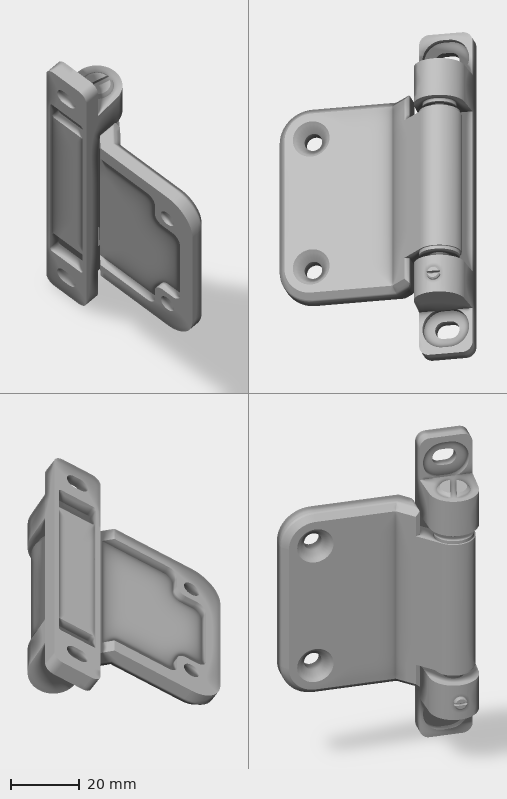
import cadquery as cq
import math

TOLERANCE = 0.001

base_height = 100.0
base_width = 16.0
base_thickness = 5.0
base_corner_radius = 3.0
mid_z = base_height / 2
axis_x = base_width / 2

screw_hole_diameter = 5.3
slot_travel = 2.0
slot_spacing = 84.0
slot_counterbore_diameter = 12.0
slot_counterbore_depth = 2.0

relief_width = 13.0
relief_height = 69.0
relief_corner_radius = 1.0
relief_depth = 1.0
relief_end_height = 7.2
relief_end_depth = 3.5

axis_y = 13.0
knuckle_radius = 7.5
knuckle_length = 11.5
knuckle_gap = 50.0
upper_knuckle_bottom = mid_z + knuckle_gap / 2
upper_knuckle_top = upper_knuckle_bottom + knuckle_length
lower_knuckle_top = mid_z - knuckle_gap / 2
lower_knuckle_bottom = lower_knuckle_top - knuckle_length

pin_diameter = 6.2
pin_neck_diameter = 8.5
pin_collar_diameter = 10.0
pin_collar_thickness = 1.0
pin_head_tip_diameter = 8.0
pin_head_height = 1.0
pin_slot_width = 1.9
pin_slot_depth = 1.0
pin_slot_angle = 75.0

barrel_radius = 6.5
barrel_length = 43.0
leaf_height = 60.0
leaf_left = 17.5
leaf_right = 58.0
leaf_back = 0.5
leaf_thickness = 6.0
leaf_front = leaf_back + leaf_thickness
leaf_outer_radius = 10.0
leaf_inner_radius = 1.0
leaf_chamfer = 2.0
leaf_edge_round = 1.0
bend_front_sum = axis_x + axis_y + barrel_radius * math.sqrt(2)
bend_back_sum = bend_front_sum - leaf_thickness * math.sqrt(2)

leaf_hole_x = 48.0
leaf_hole_spacing = 40.0
leaf_countersink_diameter = 11.0
leaf_countersink_depth = (leaf_countersink_diameter - screw_hole_diameter) / 2

pocket_depth = 2.6
pocket_height = 50.0
pocket_narrow_height = 30.0
pocket_step_x = 43.0
pocket_right = 53.0
pocket_corner_radius = 3.0

bushing_diameter = 12.0
bushing_thickness = 1.0

set_screw_diameter = 4.0
set_screw_top = 21.6
set_screw_chamfer = 0.4
set_screw_slot_width = 0.8
set_screw_slot_depth = 1.3
set_screw_z = lower_knuckle_bottom + knuckle_length / 2


def axis_cylinder(diameter, z_start, length):
    """Cylinder on the hinge axis, growing upward from z_start."""
    plane = cq.Workplane("XY", origin=(axis_x, axis_y, z_start))
    return plane.circle(diameter / 2).extrude(length)


def facing_front(y):
    """Plane at depth y whose local axes are X and Z; negative extrusions grow toward +Y."""
    return cq.Workplane("XZ", origin=(0, y, mid_z))


def make_knuckle(z_start):
    """Knuckle: round top with sides running tangent to it from the base edges."""
    reach_y = axis_y - base_thickness
    reach = math.hypot(axis_x, reach_y)
    lean = math.acos(knuckle_radius / reach) - math.atan2(reach_y, axis_x)
    side_x = knuckle_radius * math.cos(lean)
    side_y = axis_y + knuckle_radius * math.sin(lean)
    outline = (
        cq.Workplane("XY", origin=(0, 0, z_start))
        .moveTo(0, base_thickness)
        .lineTo(axis_x - side_x, side_y)
        .threePointArc((axis_x, axis_y + knuckle_radius), (axis_x + side_x, side_y))
        .lineTo(base_width, base_thickness)
        .close()
    )
    return outline.extrude(knuckle_length)


def set_screw_blank():
    """Plain set screw cylinder, from the pin surface out past the knuckle."""
    tip_y = axis_y + pin_diameter / 2
    plane = cq.Workplane("XZ", origin=(axis_x, tip_y, set_screw_z))
    return plane.circle(set_screw_diameter / 2).extrude(tip_y - set_screw_top)


def make_base():
    plate = (
        facing_front(0)
        .center(axis_x, 0)
        .rect(base_width, base_height)
        .extrude(-base_thickness)
        .edges("|Y")
        .fillet(base_corner_radius)
    )
    slots = (
        facing_front(0)
        .pushPoints([(axis_x, -slot_spacing / 2), (axis_x, slot_spacing / 2)])
        .slot2D(screw_hole_diameter + slot_travel, screw_hole_diameter)
        .extrude(-base_thickness)
    )
    relief = (
        facing_front(0)
        .center(axis_x, 0)
        .rect(relief_width, relief_height)
        .extrude(-relief_depth)
        .edges("|Y")
        .fillet(relief_corner_radius)
    )
    end_offset = (relief_height - relief_end_height) / 2
    end_reliefs = (
        facing_front(0)
        .pushPoints([(axis_x, -end_offset), (axis_x, end_offset)])
        .rect(relief_width, relief_end_height)
        .extrude(-relief_end_depth)
        .edges("|Y")
        .fillet(relief_corner_radius)
    )
    head_length = slot_counterbore_diameter + slot_travel
    counterbores = (
        facing_front(base_thickness)
        .pushPoints([(axis_x, -slot_spacing / 2), (axis_x, slot_spacing / 2)])
        .slot2D(head_length, slot_counterbore_diameter)
        .extrude(slot_counterbore_depth)
    )
    base = plate.cut(slots).cut(counterbores).cut(relief).cut(end_reliefs)
    base = base.union(make_knuckle(lower_knuckle_bottom)).union(make_knuckle(upper_knuckle_bottom))
    base = base.cut(axis_cylinder(pin_diameter, lower_knuckle_bottom, knuckle_length))
    base = base.cut(axis_cylinder(pin_neck_diameter, upper_knuckle_bottom, knuckle_length))
    return base.cut(set_screw_blank())


def leaf_outline(thickness):
    """Bent profile of the leaf in XY, measured from its back faces."""
    front = leaf_back + thickness
    front_sum = bend_back_sum + thickness * math.sqrt(2)
    return [
        (leaf_left, front_sum - leaf_left),
        (leaf_left, bend_back_sum - leaf_left),
        (bend_back_sum - leaf_back, leaf_back),
        (leaf_right, leaf_back),
        (leaf_right, front),
        (front_sum - front, front),
    ]


def rim_edges(plate, depth):
    """Outer rim edges lying at the given depth below the front faces of the bent plate."""

    def on_rim(edge):
        middle = edge.positionAt(0.5)
        flat_y = leaf_front - depth
        bend_y = bend_front_sum - depth * math.sqrt(2) - middle.x
        on_crease = abs(middle.y - flat_y) < TOLERANCE and abs(middle.y - bend_y) < TOLERANCE
        return abs(middle.y - max(flat_y, bend_y)) < TOLERANCE and not on_crease

    return plate.edges().filter(on_rim)


def make_leaf_plate():
    """Flat plate with its inner edge bent 45 degrees toward the barrel, tangent to it."""
    plate = cq.Workplane("XY", origin=(0, 0, mid_z - leaf_height / 2))
    plate = plate.polyline(leaf_outline(leaf_thickness)).close().extrude(leaf_height)
    plate = plate.edges("|Y and >X").fillet(leaf_outer_radius)
    plate = rim_edges(plate, 0).chamfer(leaf_chamfer)
    plate = rim_edges(plate, leaf_chamfer).fillet(leaf_edge_round)
    trim_block = (
        facing_front(0)
        .center((leaf_left + leaf_right) / 2, 0)
        .rect(leaf_right - leaf_left, leaf_height)
        .extrude(-axis_y)
        .edges("|Y and <X")
        .fillet(leaf_inner_radius)
    )
    return plate.intersect(trim_block)


def make_arm():
    """Barrel-length web carrying the bent plate on to the barrel, tangent at its front."""
    tangent_step = barrel_radius / math.sqrt(2)
    back_step = (barrel_radius - leaf_thickness) / math.sqrt(2)
    arm_right = leaf_left + leaf_chamfer
    return (
        cq.Workplane("XY", origin=(0, 0, mid_z - barrel_length / 2))
        .moveTo(axis_x + tangent_step, axis_y + tangent_step)
        .lineTo(arm_right, bend_front_sum - arm_right)
        .lineTo(arm_right, bend_back_sum - arm_right)
        .lineTo(axis_x + back_step, axis_y + back_step)
        .close()
        .extrude(barrel_length)
    )


def make_pocket():
    """Pocket opening to the back of the leaf, running out through the bend."""
    half = pocket_height / 2
    half_narrow = pocket_narrow_height / 2
    pocket = (
        facing_front(leaf_back)
        .moveTo(leaf_left, -half)
        .lineTo(pocket_step_x, -half)
        .lineTo(pocket_step_x, -half_narrow)
        .lineTo(pocket_right, -half_narrow)
        .lineTo(pocket_right, half_narrow)
        .lineTo(pocket_step_x, half_narrow)
        .lineTo(pocket_step_x, half)
        .lineTo(leaf_left, half)
        .close()
        .extrude(-pocket_depth)
    )
    corners = cq.selectors.BoxSelector(
        (pocket_step_x - 1, leaf_back, 0), (pocket_right + 1, leaf_front, base_height)
    )
    return pocket.edges("|Y").edges(corners).fillet(pocket_corner_radius)


def make_leaf():
    leaf = make_leaf_plate().union(make_arm())
    barrel_bottom = mid_z - barrel_length / 2
    leaf = leaf.union(axis_cylinder(2 * barrel_radius, barrel_bottom, barrel_length))
    holes = (
        facing_front(0)
        .pushPoints([(leaf_hole_x, -leaf_hole_spacing / 2), (leaf_hole_x, leaf_hole_spacing / 2)])
        .circle(screw_hole_diameter / 2)
        .extrude(-2 * leaf_front)
    )
    countersinks = (
        facing_front(leaf_front)
        .pushPoints([(leaf_hole_x, -leaf_hole_spacing / 2), (leaf_hole_x, leaf_hole_spacing / 2)])
        .circle(leaf_countersink_diameter / 2)
        .extrude(leaf_countersink_depth, taper=45)
    )
    leaf = leaf.cut(make_pocket()).cut(holes).cut(countersinks)
    return leaf.cut(axis_cylinder(pin_diameter, barrel_bottom, barrel_length))


def make_bushing(z_start):
    """Flat ring on the pin, seated against one end of the barrel."""
    ring = axis_cylinder(bushing_diameter, z_start, bushing_thickness)
    return ring.cut(axis_cylinder(pin_diameter, z_start, bushing_thickness))


def make_pin():
    """Pin with a collar below the upper knuckle and a slotted conical head above it."""
    shaft = axis_cylinder(pin_diameter, lower_knuckle_bottom, upper_knuckle_top - lower_knuckle_bottom)
    neck = axis_cylinder(pin_neck_diameter, upper_knuckle_bottom, knuckle_length)
    collar = axis_cylinder(
        pin_collar_diameter, upper_knuckle_bottom - pin_collar_thickness, pin_collar_thickness
    )
    slot = (
        cq.Workplane("XY", origin=(axis_x, axis_y, upper_knuckle_top + pin_head_height))
        .transformed(rotate=(0, 0, pin_slot_angle))
        .rect(2 * pin_collar_diameter, pin_slot_width)
        .extrude(-pin_slot_depth)
    )
    head = (
        cq.Workplane("XY", origin=(axis_x, axis_y, upper_knuckle_top))
        .circle(pin_collar_diameter / 2)
        .workplane(offset=pin_head_height)
        .circle(pin_head_tip_diameter / 2)
        .loft()
    )
    return shaft.union(neck).union(collar).union(head).cut(slot)


def make_set_screw():
    screw = set_screw_blank().faces(">Y").edges().chamfer(set_screw_chamfer)
    slot = cq.Workplane("XY").box(
        2 * set_screw_diameter, 2 * set_screw_slot_depth, set_screw_slot_width
    )
    return screw.cut(slot.translate((axis_x, set_screw_top, set_screw_z)))


base = make_base()
leaf = make_leaf()
pin = make_pin()
bushings = [
    make_bushing(mid_z - barrel_length / 2 - bushing_thickness),
    make_bushing(mid_z + barrel_length / 2),
]
set_screw = make_set_screw()

result = cq.Compound.makeCompound(
    [base.val(), leaf.val(), pin.val(), *[ring.val() for ring in bushings], set_screw.val()]
)